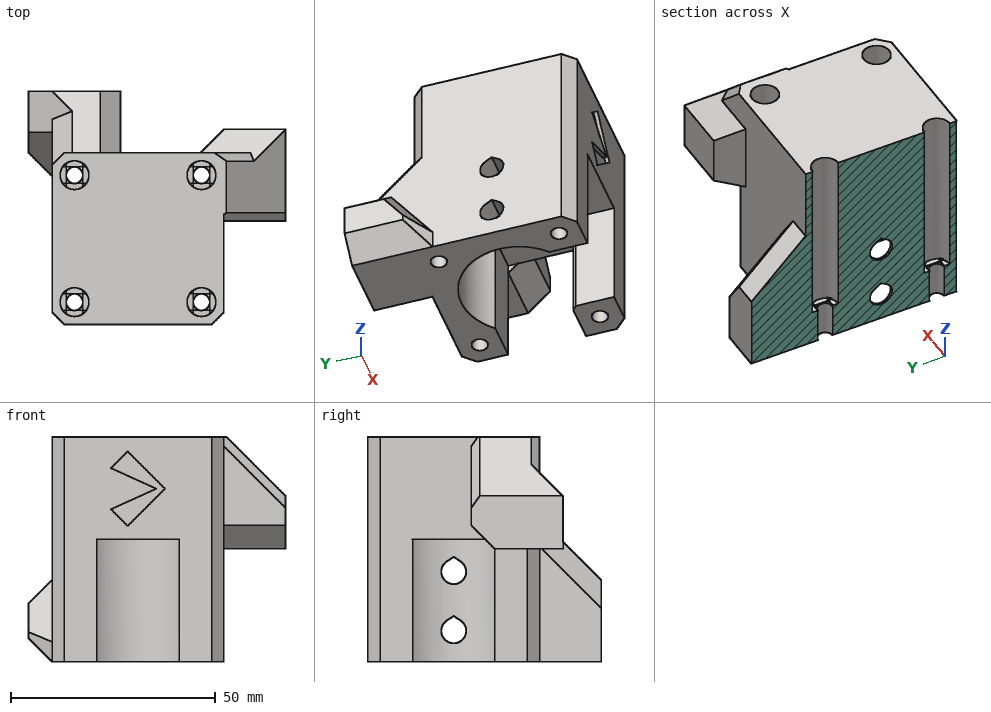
import cadquery as cq
import math

BODY_SIDE = 42.0
BODY_HEIGHT = 55.0
BODY_CORNER = 3.0
HALF_BODY = BODY_SIDE / 2

CAVITY_DIAMETER = 30.0
CAVITY_HEIGHT = 30.0
OPENING_WIDTH = 20.1

SCREW_PITCH = 31.0
SCREW_DIAMETER = 4.0
HEAD_DIAMETER = 7.0
SCREW_FLANGE = 10.05
HEAD_STEP = 0.3

ACCESS_DIAMETER = 6.0
ACCESS_TIP = 3.6
ACCESS_HEIGHTS = (7.6, 22.0)

ARROW_CENTER_Z = 42.3
ARROW_DEPTH = 1.0
ARROW_TIP_X = 6.6
ARROW_NOTCH_X = 4.45
ARROW_CORNER_X = -2.5
ARROW_BARB = 4.1

OVERALL_LENGTH = 62.75
BLOCK_REACH = 36.0
BLOCK_ROOT = 15.0
EAR_OVERHANG = OVERALL_LENGTH - BLOCK_REACH - HALF_BODY
EAR_OUTER = HALF_BODY + EAR_OVERHANG
BLOCK_WIDTH = 22.45
BLOCK_INNER = EAR_OUTER - BLOCK_WIDTH
BLOCK_MIDDLE = (HALF_BODY + BLOCK_INNER) / 2

LOW_BLOCK_BASE = 0
LOW_BLOCK_EAR_HEIGHT = 20.0
LOW_BLOCK_END_Z = 20.0
LOW_BLOCK_BEVEL = 4.9
LOW_EAR_UNDERCUT_Y = 25.9

HIGH_BLOCK_BASE = 27.6
HIGH_BLOCK_EAR_HEIGHT = 18.6
HIGH_BLOCK_END_Z = 40.55
HIGH_BLOCK_BEVEL = 2.1


def make_body():
    body = cq.Workplane("XY").rect(BODY_SIDE, BODY_SIDE).extrude(BODY_HEIGHT)
    return body.edges("|Z").chamfer(BODY_CORNER)


def sloped_prism(base_z, end_z, x_low, x_high):
    """Prism reaching out along +Y, with a flat base and a top that falls outwards at 45 degrees."""
    root_z = end_z + BLOCK_REACH - BLOCK_ROOT
    return (
        cq.Workplane("YZ", origin=(x_low, 0, 0))
        .moveTo(BLOCK_ROOT, base_z)
        .lineTo(BLOCK_REACH, base_z)
        .lineTo(BLOCK_REACH, end_z)
        .lineTo(BLOCK_ROOT, root_z)
        .close()
        .extrude(x_high - x_low)
    )


def make_wedge(base_z, end_z, bevel):
    wedge = sloped_prism(base_z, end_z, -HALF_BODY, -BLOCK_INNER)
    slope_edges = cq.selectors.ParallelDirSelector(cq.Vector(0, 1, -1))
    return wedge.edges(slope_edges).chamfer(bevel)


def make_ear(base_z, ear_height, end_z):
    """Strip overhanging the -X wall, bevelled above, trimmed by the slope and by a 45 degree end."""
    side_top = base_z + ear_height - EAR_OVERHANG
    section = (
        cq.Workplane("XZ")
        .moveTo(-EAR_OUTER, base_z)
        .lineTo(-EAR_OUTER, side_top)
        .lineTo(-BLOCK_MIDDLE, side_top + EAR_OUTER - BLOCK_MIDDLE)
        .lineTo(-BLOCK_MIDDLE, base_z)
        .close()
        .extrude(-BLOCK_REACH)
    )
    plan = (
        cq.Workplane("XY")
        .moveTo(-EAR_OUTER, BLOCK_REACH)
        .lineTo(-EAR_OUTER, HALF_BODY)
        .lineTo(-HALF_BODY, HALF_BODY - EAR_OVERHANG)
        .lineTo(-BLOCK_MIDDLE, HALF_BODY - EAR_OVERHANG)
        .lineTo(-BLOCK_MIDDLE, BLOCK_REACH)
        .close()
        .extrude(2 * BODY_HEIGHT)
    )
    slope = sloped_prism(base_z, end_z, -EAR_OUTER, -BLOCK_MIDDLE)
    return section.intersect(plan).intersect(slope)


def corner_waste(corner_x, bevel_end_x, base_z):
    """Triangular prism along Y that bevels a bottom edge at 45 degrees."""
    return (
        cq.Workplane("XZ")
        .moveTo(corner_x, base_z)
        .lineTo(bevel_end_x, base_z)
        .lineTo(corner_x, base_z + abs(bevel_end_x - corner_x))
        .close()
        .extrude(-BLOCK_REACH)
    )


def make_low_block():
    """Block on the +Y wall, at the bottom; its ear overhangs the -X wall."""
    wedge = make_wedge(LOW_BLOCK_BASE, LOW_BLOCK_END_Z, LOW_BLOCK_BEVEL)
    ear = make_ear(LOW_BLOCK_BASE, LOW_BLOCK_EAR_HEIGHT, LOW_BLOCK_END_Z)
    ear = ear.cut(corner_waste(-EAR_OUTER, -HALF_BODY, LOW_BLOCK_BASE))
    oblique = cq.Plane(
        origin=(-HALF_BODY, LOW_EAR_UNDERCUT_Y, LOW_BLOCK_BASE + LOW_BLOCK_EAR_HEIGHT),
        xDir=(1, 0, 1),
        normal=(-1, -math.sqrt(2), 1),
    )
    waste = cq.Workplane(oblique).rect(2 * BODY_HEIGHT, 2 * BODY_HEIGHT).extrude(BODY_HEIGHT)
    return wedge.union(ear.cut(waste))


def make_high_block():
    """Block on the +X wall, cut off level with the body top; its ear overhangs the +Y wall."""
    wedge = make_wedge(HIGH_BLOCK_BASE, HIGH_BLOCK_END_Z, HIGH_BLOCK_BEVEL)
    wedge = wedge.cut(corner_waste(-BLOCK_INNER, -BLOCK_INNER - EAR_OVERHANG, HIGH_BLOCK_BASE))
    ear = make_ear(HIGH_BLOCK_BASE, HIGH_BLOCK_EAR_HEIGHT, HIGH_BLOCK_END_Z)
    block = wedge.union(ear).rotate((0, 0, 0), (0, 0, 1), -90)
    below_top = cq.Workplane("XY").rect(2 * BLOCK_REACH, 2 * BLOCK_REACH).extrude(BODY_HEIGHT)
    return block.intersect(below_top)


def make_cavity():
    bore = cq.Workplane("XY").circle(CAVITY_DIAMETER / 2).extrude(CAVITY_HEIGHT)
    front_opening = (
        cq.Workplane("XY")
        .center(0, -HALF_BODY / 2)
        .rect(OPENING_WIDTH, HALF_BODY)
        .extrude(CAVITY_HEIGHT)
    )
    side_opening = front_opening.rotate((0, 0, 0), (0, 0, 1), 90)
    return bore.union(front_opening).union(side_opening)


def make_screw_hole():
    """Head bore from the top, a shallow cross, a square step and the screw hole."""
    head_bottom = SCREW_FLANGE
    cross_bottom = head_bottom - HEAD_STEP
    square_bottom = cross_bottom - HEAD_STEP
    head = (
        cq.Workplane("XY", origin=(0, 0, head_bottom))
        .circle(HEAD_DIAMETER / 2)
        .extrude(BODY_HEIGHT - head_bottom)
    )
    slot = (
        cq.Workplane("XY", origin=(0, 0, cross_bottom))
        .rect(HEAD_DIAMETER, SCREW_DIAMETER)
        .extrude(HEAD_STEP)
    )
    slots = slot.union(slot.rotate((0, 0, 0), (0, 0, 1), 90))
    rim = cq.Workplane("XY").circle(HEAD_DIAMETER / 2).extrude(BODY_HEIGHT)
    cross = slots.intersect(rim)
    square = (
        cq.Workplane("XY", origin=(0, 0, square_bottom))
        .rect(SCREW_DIAMETER, SCREW_DIAMETER)
        .extrude(HEAD_STEP)
    )
    shank = cq.Workplane("XY").circle(SCREW_DIAMETER / 2).extrude(BODY_HEIGHT)
    return head.union(cross).union(square).union(shank)


def make_access_hole(center_z):
    """Teardrop hole along X, from the -X wall to the cavity axis."""
    radius = ACCESS_DIAMETER / 2
    flank_z = radius**2 / ACCESS_TIP
    flank_y = math.sqrt(radius**2 - flank_z**2)
    return (
        cq.Workplane("YZ", origin=(-HALF_BODY, 0, center_z))
        .moveTo(flank_y, flank_z)
        .lineTo(0, ACCESS_TIP)
        .lineTo(-flank_y, flank_z)
        .threePointArc((0, -radius), (flank_y, flank_z))
        .close()
        .extrude(HALF_BODY)
    )


def make_arrow():
    corner_z = ARROW_TIP_X - ARROW_CORNER_X
    barb_x = ARROW_CORNER_X - ARROW_BARB
    barb_z = corner_z - ARROW_BARB
    outline = [
        (ARROW_TIP_X, 0),
        (ARROW_CORNER_X, corner_z),
        (barb_x, barb_z),
        (ARROW_NOTCH_X, 0),
        (barb_x, -barb_z),
        (ARROW_CORNER_X, -corner_z),
    ]
    return (
        cq.Workplane("XZ", origin=(0, -HALF_BODY, ARROW_CENTER_Z))
        .polyline(outline)
        .close()
        .extrude(-ARROW_DEPTH)
    )


result = make_body().union(make_low_block()).union(make_high_block())
result = result.cut(make_cavity())

for side_x in (-1, 1):
    for side_y in (-1, 1):
        screw_position = (side_x * SCREW_PITCH / 2, side_y * SCREW_PITCH / 2, 0)
        result = result.cut(make_screw_hole().translate(screw_position))

for access_z in ACCESS_HEIGHTS:
    result = result.cut(make_access_hole(access_z))

result = result.cut(make_arrow())